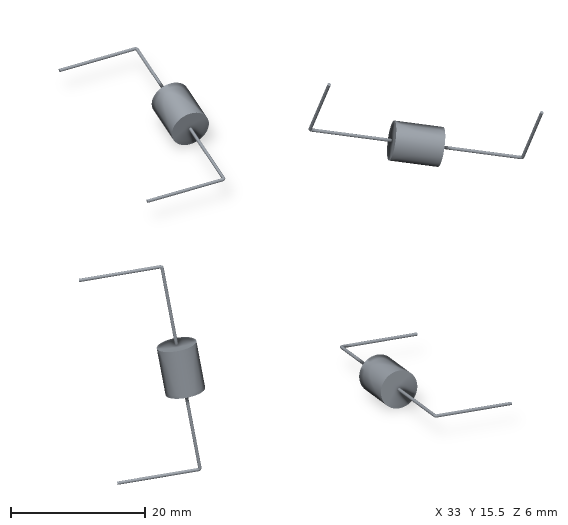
import cadquery as cq

span = 33.0
depth = 15.5
body_diameter = 6.0
body_length = 7.5
lead_diameter = 0.5
bend_radius = 0.25

leg_x = (span - lead_diameter) / 2
tip_y = body_diameter / 2 - depth


def make_body():
    """Cylindrical body centred on the origin."""
    end_plane = cq.Workplane("YZ").workplane(offset=-body_length / 2)
    return end_plane.circle(body_diameter / 2).extrude(body_length)


def make_lead():
    """Round wire from the body centre along +X, bent tightly towards -Y."""
    bend_start_x = leg_x - bend_radius
    path = (
        cq.Workplane("XY")
        .lineTo(bend_start_x, 0)
        .tangentArcPoint((leg_x, -bend_radius), relative=False)
        .lineTo(leg_x, tip_y)
    )
    return cq.Workplane("YZ").circle(lead_diameter / 2).sweep(path)


right_lead = make_lead()
left_lead = right_lead.mirror("YZ")
result = make_body().union(right_lead).union(left_lead)